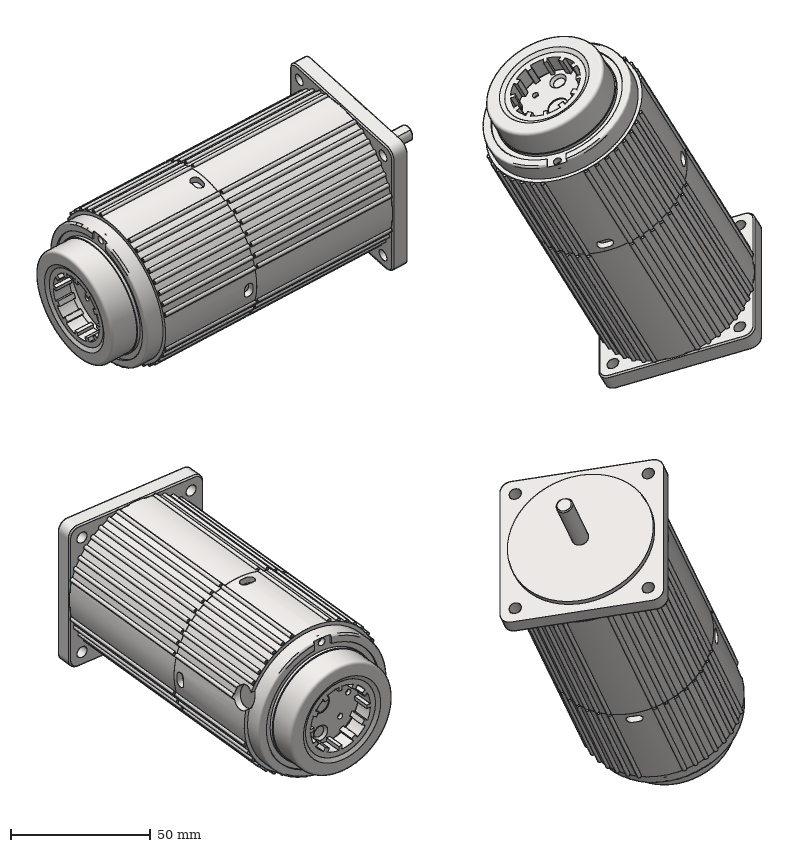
import cadquery as cq
import math

collar_face_y = 12.0
cover_end_y = 18.0
joint_y = 59.2
flange_rear_y = 120.6
flange_mount_y = 127.1
pilot_face_y = 129.1
shaft_tip_y = 151.0

flange_size = 61.0
flange_corner_radius = 4.2
flange_chamfer = 0.6
mount_hole_offset = 24.8
mount_hole_diameter = 4.5
pilot_radius = 27.2
shaft_diameter = 6.2
shaft_chamfer = 0.5
flat_height = 2.5
flat_length = 19.6

barrel_radius = flange_size / 2
bead_radius = 0.9
beads_per_quadrant = 8
first_bead_angle = 16.0
bead_pitch = (90.0 - 2 * first_bead_angle) / (beads_per_quadrant - 1)
motor_bead_gap = 0.9
cover_bead_gap = 0.5

cavity_radius = 28.0
cavity_end_y = 15.1
spigot_end_y = 37.8
vent_length = 6.2
vent_width = 3.8
vent_y = 55.5
cable_hole_radius = 4.5
cable_hole_y = 21.0
cable_hole_z = 10.0
collar_radius = 29.0
rim_height = 0.8
rim_inner_radius = 25.7
rim_notch_width = 7.5
screw_hole_offset = 27.2
screw_hole_radius = 1.5
screw_hole_depth = 2.3

neck_radius = 23.0
neck_fillet = 1.2
shoulder_radius = 23.4
shoulder_y = 10.7
mouth_radius = 17.5
mouth_floor_radius = 15.9
mouth_depth = 0.9
socket_radius = 13.6
undercut_radius = 18.1
socket_floor_y = 12.5
tooth_tip_radius = 12.0
tooth_end_y = 8.2
tooth_count = 12
wide_tooth_width = 2.1
narrow_tooth_width = 1.5
contact_circle_radius = 12.5
contact_depth = 1.2
small_contact_radius = 1.13
small_contact_floor_radius = 0.68
contact_count = 8
large_contact_radius = 3.2
large_contact_floor_radius = 2.3
center_recess_radius = 4.0
center_recess_depth = 0.5


def cylinder(radius, y_start, y_end, x=0.0, z=0.0):
    """Cylinder parallel to Y between two stations."""
    axis_point = cq.Vector(x, y_start, z)
    solid = cq.Solid.makeCylinder(radius, y_end - y_start, axis_point, cq.Vector(0, 1, 0))
    return cq.Workplane(obj=solid)


def cone(start_radius, end_radius, y_start, y_end, x=0.0, z=0.0):
    """Truncated cone parallel to Y between two stations."""
    axis_point = cq.Vector(x, y_start, z)
    solid = cq.Solid.makeCone(
        start_radius, end_radius, y_end - y_start, axis_point, cq.Vector(0, 1, 0)
    )
    return cq.Workplane(obj=solid)


def box_between(x_size, z_min, z_max, y_start, y_end):
    """Box centred on X = 0 between the given Y and Z limits."""
    return cq.Workplane("XY").box(
        x_size, y_end - y_start, z_max - z_min, centered=(True, False, False)
    ).translate((0, y_start, z_min))


def polar_point(radius, angle):
    """X and Z of a point at an angle measured from +Z."""
    return radius * math.sin(math.radians(angle)), radius * math.cos(math.radians(angle))


def beaded_barrel(y_start, y_end, bead_start, bead_end):
    """Barrel with half-round beads in four groups, leaving smooth strips on the X and Z axes."""
    barrel = cylinder(barrel_radius, y_start, y_end)
    for quadrant in range(4):
        for index in range(beads_per_quadrant):
            angle = 90 * quadrant + first_bead_angle + index * bead_pitch
            x, z = polar_point(barrel_radius, angle)
            barrel = barrel.union(cylinder(bead_radius, bead_start, bead_end, x, z))
    return barrel


def make_shaft():
    """Output shaft with a flat on its upper side."""
    shaft = cylinder(shaft_diameter / 2, pilot_face_y, shaft_tip_y)
    shaft = shaft.faces(">Y").chamfer(shaft_chamfer)
    flat = box_between(
        shaft_diameter, flat_height, shaft_diameter, shaft_tip_y - flat_length, shaft_tip_y
    )
    return shaft.cut(flat)


def make_motor():
    """Square flange with pilot, the motor barrel, and a spigot that fills the cover near the joint."""
    half_size = flange_size / 2
    flange = box_between(flange_size, -half_size, half_size, flange_rear_y, flange_mount_y)
    flange = flange.edges("|Y").fillet(flange_corner_radius)
    flange = flange.faces("<Y").edges().chamfer(flange_chamfer)
    for x in (-mount_hole_offset, mount_hole_offset):
        for z in (-mount_hole_offset, mount_hole_offset):
            flange = flange.cut(
                cylinder(mount_hole_diameter / 2, flange_rear_y, flange_mount_y, x, z)
            )
    pilot = cylinder(pilot_radius, flange_mount_y, pilot_face_y)
    barrel = beaded_barrel(joint_y, flange_rear_y, joint_y + motor_bead_gap, flange_rear_y)
    spigot = cylinder(cavity_radius, spigot_end_y, joint_y)
    return flange.union(pilot).union(barrel).union(spigot)


def make_collar():
    """Collar whose raised rim is notched at top and bottom around two screw holes."""
    rim_face_y = collar_face_y - rim_height
    collar = cylinder(collar_radius, rim_face_y, cover_end_y).faces("<Y").edges().fillet(rim_height)
    collar = collar.cut(cylinder(rim_inner_radius, rim_face_y, collar_face_y))
    notches = box_between(
        rim_notch_width, -collar_radius, collar_radius, rim_face_y, collar_face_y
    )
    collar = collar.cut(notches)
    for z in (-screw_hole_offset, screw_hole_offset):
        collar = collar.cut(
            cylinder(screw_hole_radius, collar_face_y, collar_face_y + screw_hole_depth, z=z)
        )
    return collar


def make_socket():
    """Space inside the neck: conical mouth, toothed socket, undercut and contact recesses."""
    mouth = cone(mouth_radius, mouth_floor_radius, 0, mouth_depth)
    socket = cylinder(socket_radius, mouth_depth, tooth_end_y)
    for index in range(tooth_count):
        on_axis = index % (tooth_count // 4) == 0
        tooth_width = narrow_tooth_width if on_axis else wide_tooth_width
        tooth = box_between(
            tooth_width, tooth_tip_radius, socket_radius, mouth_depth, tooth_end_y
        )
        socket = socket.cut(tooth.rotate((0, 0, 0), (0, 1, 0), index * 360 / tooth_count))
    undercut = cylinder(undercut_radius, tooth_end_y, socket_floor_y)
    space = mouth.union(socket).union(undercut)
    space = space.union(
        cylinder(center_recess_radius, socket_floor_y, socket_floor_y + center_recess_depth)
    )
    for index in range(contact_count):
        angle = index * 360 / contact_count
        x, z = polar_point(contact_circle_radius, angle)
        top_radius = small_contact_radius
        floor_radius = small_contact_floor_radius
        if angle % 180 == 0:
            top_radius = large_contact_radius
            floor_radius = large_contact_floor_radius
        hole = cone(top_radius, floor_radius, socket_floor_y, socket_floor_y + contact_depth, x, z)
        space = space.union(hole)
    return space


def cut_vents(cover):
    """Four oval openings, one in each smooth strip near the joint."""
    for index in range(4):
        vent = (
            cq.Workplane("XY", origin=(0, vent_y, 0))
            .slot2D(vent_length, vent_width)
            .extrude(barrel_radius)
            .cut(cylinder(cavity_radius, cavity_end_y, joint_y))
        )
        cover = cover.cut(vent.rotate((0, 0, 0), (0, 1, 0), 90 * index))
    return cover


def make_rear_cover():
    """Hollow beaded cover that carries the collar and the connector neck."""
    cover = beaded_barrel(cover_end_y, joint_y, cover_end_y + cover_bead_gap, joint_y)
    neck = cylinder(neck_radius, 0, collar_face_y).faces("<Y").edges().fillet(neck_fillet)
    shoulder = cylinder(shoulder_radius, shoulder_y, collar_face_y)
    cover = cover.union(make_collar()).union(neck).union(shoulder)
    cover = cover.cut(cylinder(cavity_radius, cavity_end_y, joint_y))
    cover = cover.cut(make_socket())
    cover = cut_vents(cover)
    cable_hole = (
        cq.Workplane("YZ", origin=(-barrel_radius - bead_radius, cable_hole_y, cable_hole_z))
        .circle(cable_hole_radius)
        .extrude(barrel_radius)
        .intersect(cylinder(2 * barrel_radius, cavity_end_y, joint_y))
    )
    return cover.cut(cable_hole)


shaft = make_shaft()
motor = make_motor()
rear_cover = make_rear_cover()

result = cq.Compound.makeCompound([shaft.val(), motor.val(), rear_cover.val()])